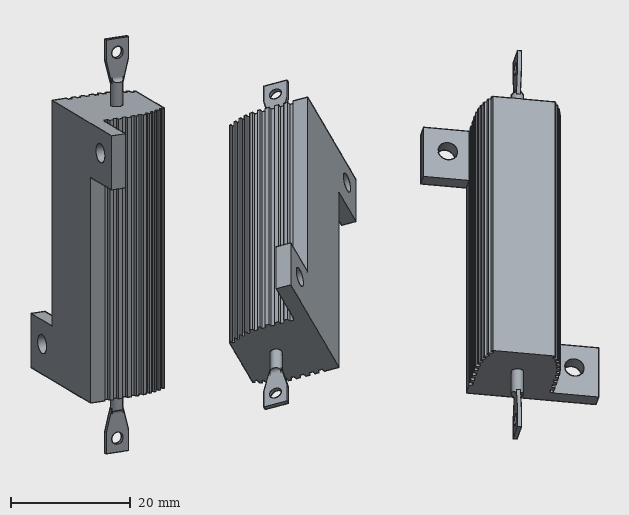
import cadquery as cq
import math

total_length = 72.5
body_length = 49.0
body_width = 14.3
body_depth = 14.8
axis_height = 8.5

tab_span = 29.7
tab_thickness = 2.6
tab_length = 9.5
tab_hole_diameter = 3.25
tab_hole_x = 10.7
tab_hole_drop = 4.2

shoulder_height = 8.1
side_radius = 12.9
groove_depth = 0.6
first_groove_height = 3.1
groove_runs = [
    (3, 1.7, 0.95),
    (2, 1.4, 0.9),
    (4, 1.1, 0.65),
]
wall_slant = 0.15

plug_diameter = 9.85
plug_depth = 3.6

rod_diameter = 2.1
blade_thickness = 0.69
blade_width = 4.2
blade_straight_length = 3.6
blade_length = 7.75
shoulder_from_tip = 6.8
corner_radius = 2.9
eye_diameter = 2.1
eye_from_tip = 2.5

base_y = -axis_height
back_y = base_y + body_depth
half_width = body_width / 2
body_top = body_length / 2
tip_z = total_length / 2


def side_half_width(height):
    """Half width of the fin tips at a height above the mounting face."""
    rise = max(0.0, height - shoulder_height)
    return half_width - side_radius + math.sqrt(side_radius**2 - rise**2)


def groove_positions():
    """Height and mouth width of every groove, from the mounting face up."""
    grooves = []
    height = first_groove_height
    for count, pitch, width in groove_runs:
        for _ in range(count):
            grooves.append((height, width))
            height += pitch
    return grooves


def make_groove(height, mouth_width):
    """Groove with sloping walls on the +X side, open outward past the body."""
    mouth_x = side_half_width(height)
    floor_x = mouth_x - groove_depth
    outer_x = mouth_x + groove_depth
    floor_half = mouth_width / 2 - wall_slant
    outer_half = mouth_width / 2 + wall_slant
    y = base_y + height
    return (
        cq.Workplane("XY", origin=(0, 0, -body_top))
        .polyline([
            (floor_x, y - floor_half),
            (outer_x, y - outer_half),
            (outer_x, y + outer_half),
            (floor_x, y + floor_half),
        ])
        .close()
        .extrude(body_length)
    )


def make_body():
    back_half_width = side_half_width(body_depth)
    mid_height = (shoulder_height + body_depth) / 2
    mid_half_width = side_half_width(mid_height)
    shoulder_y = base_y + shoulder_height
    mid_y = base_y + mid_height
    body = (
        cq.Workplane("XY", origin=(0, 0, -body_top))
        .moveTo(-half_width, base_y)
        .lineTo(half_width, base_y)
        .lineTo(half_width, shoulder_y)
        .threePointArc((mid_half_width, mid_y), (back_half_width, back_y))
        .lineTo(-back_half_width, back_y)
        .threePointArc((-mid_half_width, mid_y), (-half_width, shoulder_y))
        .close()
        .extrude(body_length)
    )
    for height, width in groove_positions():
        groove = make_groove(height, width)
        body = body.cut(groove).cut(groove.mirror("YZ"))
    return body


def make_tab(side, top_z):
    """Tab reaching out from the body centre plane, with its mounting hole."""
    reach = tab_span / 2
    tab = (
        cq.Workplane("XY")
        .box(reach, tab_thickness, tab_length)
        .translate((side * reach / 2, base_y + tab_thickness / 2, top_z - tab_length / 2))
    )
    hole = (
        cq.Workplane("XZ", origin=(side * tab_hole_x, base_y + tab_thickness, top_z - tab_hole_drop))
        .circle(tab_hole_diameter / 2)
        .extrude(tab_thickness)
    )
    return tab.cut(hole)


def make_terminal():
    """Upper terminal: a rod with hollow shoulders, ending in a flat blade with an eye."""
    rod_radius = rod_diameter / 2
    rod_start = body_top - plug_depth
    shoulder_top = tip_z - shoulder_from_tip
    shoulder_radius = rod_radius - blade_thickness / 2
    shoulder_base = shoulder_top - shoulder_radius
    arc_reach = shoulder_radius * math.sqrt(0.5)
    arc_x = rod_radius - arc_reach
    arc_z = shoulder_top - arc_reach
    rod = cq.Workplane("XY", origin=(0, 0, rod_start)).circle(rod_radius).extrude(shoulder_top - rod_start)
    shouldered_bar = (
        cq.Workplane("XZ")
        .moveTo(-rod_radius, rod_start)
        .lineTo(rod_radius, rod_start)
        .lineTo(rod_radius, shoulder_base)
        .threePointArc((arc_x, arc_z), (blade_thickness / 2, shoulder_top))
        .lineTo(-blade_thickness / 2, shoulder_top)
        .threePointArc((-arc_x, arc_z), (-rod_radius, shoulder_base))
        .close()
        .extrude(rod_diameter, both=True)
    )
    neck_z = tip_z - blade_length
    taper_z = tip_z - blade_straight_length
    blade = (
        cq.Workplane("YZ")
        .polyline([
            (-rod_radius, neck_z),
            (rod_radius, neck_z),
            (blade_width / 2, taper_z),
            (blade_width / 2, tip_z),
            (-blade_width / 2, tip_z),
            (-blade_width / 2, taper_z),
        ])
        .close()
        .extrude(blade_thickness / 2, both=True)
        .edges("|X")
        .edges(">Y or <Y")
        .edges("<Z")
        .fillet(corner_radius)
    )
    eye = (
        cq.Workplane("YZ", origin=(0, 0, tip_z - eye_from_tip))
        .circle(eye_diameter / 2)
        .extrude(blade_thickness, both=True)
    )
    return rod.intersect(shouldered_bar).union(blade).cut(eye)


def make_upper_end():
    """Plug with its terminal."""
    plug_start = body_top - plug_depth
    plug = cq.Workplane("XY", origin=(0, 0, plug_start)).circle(plug_diameter / 2).extrude(plug_depth)
    return plug.union(make_terminal())


housing = make_body()
housing = housing.union(make_tab(1, body_top))
housing = housing.union(make_tab(-1, tab_length - body_top))

upper_end = make_upper_end()
lower_end = upper_end.mirror("XY")
result = housing.union(upper_end, clean=False).union(lower_end, clean=False)